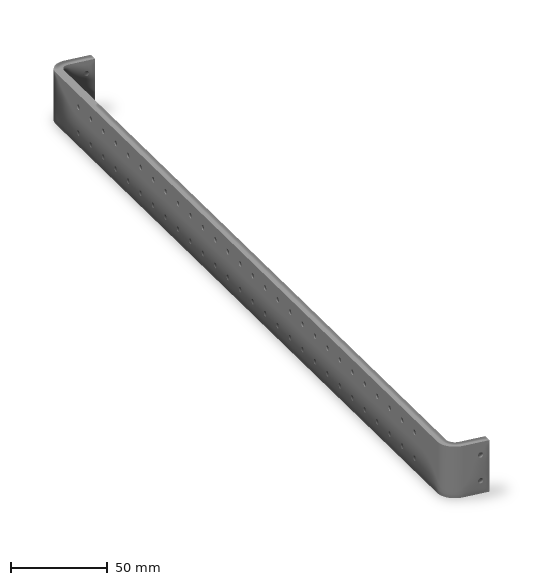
import cadquery as cq

length = 480.0
depth = 25.0
height = 30.0

thickness = 5.0
outer_bend_radius = 10.0
inner_bend_radius = outer_bend_radius - thickness

hole_diameter = 3.0
hole_pitch = 15.0
web_hole_columns = 28
flange_hole_columns = 1
hole_rows = 2
flange_hole_to_tip = 5.0

front_y = -depth / 2
tip_y = front_y + depth


def u_block(width, near_y, bend_radius):
    """Block from near_y to the flange tips, with its two front vertical corners rounded."""
    block_depth = tip_y - near_y
    block = cq.Workplane("XY").box(width, block_depth, height)
    block = block.edges("|Z and <Y").fillet(bend_radius)
    return block.translate((0, near_y + block_depth / 2, 0))


def bent_bar():
    """Flat bar with both ends bent back toward +Y around concentric bend radii."""
    outside = u_block(length, front_y, outer_bend_radius)
    inside = u_block(length - 2 * thickness, front_y + thickness, inner_bend_radius)
    return outside.cut(inside)


def web_holes():
    """Two rows of pins along Y that pierce the long web."""
    return (
        cq.Workplane("XZ", origin=(0, front_y + thickness, 0))
        .rarray(hole_pitch, hole_pitch, web_hole_columns, hole_rows)
        .circle(hole_diameter / 2)
        .extrude(thickness)
    )


def flange_holes():
    """One pair of pins along X that pierces both end flanges near their tips."""
    return (
        cq.Workplane("YZ", origin=(0, tip_y - flange_hole_to_tip, 0))
        .rarray(hole_pitch, hole_pitch, flange_hole_columns, hole_rows)
        .circle(hole_diameter / 2)
        .extrude(length / 2, both=True)
    )


result = bent_bar().cut(web_holes()).cut(flange_holes())